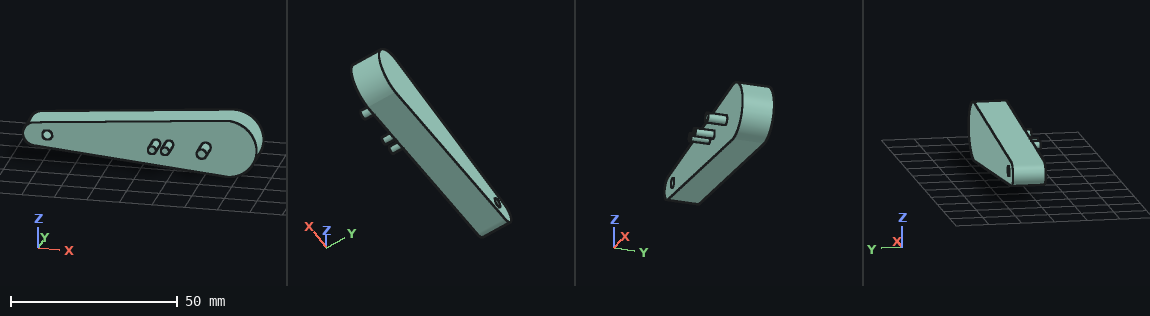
import cadquery as cq

large_end_radius = 9.0
small_end_radius = 3.75
end_center_distance = 59.0
lever_thickness = 10.0

hole_diameter = 3.0
hole_x = small_end_radius

pin_length = 6.0
small_pin_diameter = 2.5
large_pin_diameter = 3.0
small_pin_spacing = 4.0
first_small_pin_x = 37.2
second_small_pin_x = first_small_pin_x + small_pin_spacing
large_pin_x = 52.45


def make_lever():
    """Tapered bar occupying y from 0 to lever_thickness."""
    return (
        cq.Workplane("XZ")
        .moveTo(0, small_end_radius)
        .lineTo(end_center_distance, large_end_radius)
        .threePointArc(
            (end_center_distance + large_end_radius, 0),
            (end_center_distance, -large_end_radius),
        )
        .lineTo(0, -small_end_radius)
        .threePointArc((-small_end_radius, 0), (0, small_end_radius))
        .close()
        .extrude(-lever_thickness)
    )


def make_cylinder(center_x, diameter, length):
    """Cylinder along Y from the front face; a positive length runs toward -Y."""
    return cq.Workplane("XZ").center(center_x, 0).circle(diameter / 2).extrude(length)


result = make_lever().cut(make_cylinder(hole_x, hole_diameter, -lever_thickness))
for pin_x, pin_diameter in (
    (first_small_pin_x, small_pin_diameter),
    (second_small_pin_x, small_pin_diameter),
    (large_pin_x, large_pin_diameter),
):
    result = result.union(make_cylinder(pin_x, pin_diameter, pin_length))